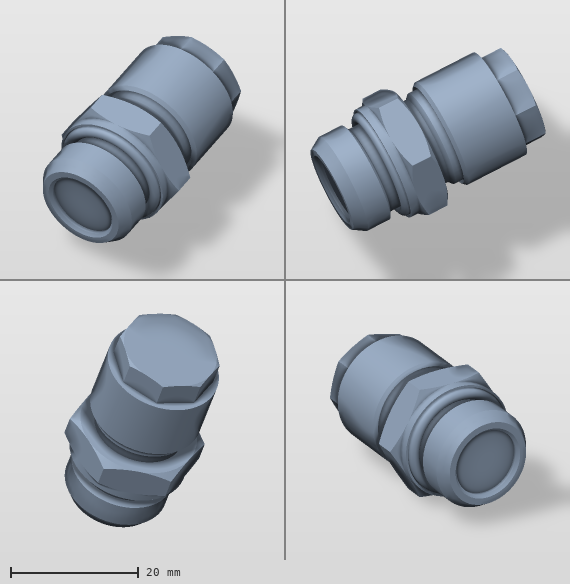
import cadquery as cq
import math


tip_radius = 7.07
thread_radius = 8.3
neck_radius = 7.25
tip_chamfer_end = 1.97
thread_end = 5.95
relief_start = 6.53

seal_radius = 8.98
seal_start = 8.02
seal_section_radius = (seal_radius - neck_radius) / 2
seal_middle = seal_start + seal_section_radius
collar_start = 9.05
seal_groove_radius = 9.15
seal_groove_end = collar_start + 0.68

hex_start = 10.55
hex_end = 15.55
hex_across_flats = 19.0
hex_inner_radius = hex_across_flats / 2
hex_chamfer_angle = 30

shoulder_radius = 7.95
shoulder_chamfer_start = 17.05
shoulder_start = 17.7
nut_start = 18.97
nut_radius = 9.05
nut_chamfer = 0.55
nut_bore_radius = 8.43
nut_bore_depth = 0.68
nut_end = 29.92
total_length = 34

octagon_across_flats = 15.13
octagon_inner_radius = octagon_across_flats / 2
octagon_turn = 7.8
octagon_chamfer_angle = 25

recess_radius = 6.0
recess_floor_radius = 5.5
recess_chamfer_depth = recess_radius - recess_floor_radius
recess_depth = 1.1


def revolve_about_axis(profile):
    """Turn a closed (radius, Y) profile about the Y axis."""
    return profile.close().revolve(360, (0, 0, 0), (0, 1, 0))


def prism(sides, across_flats, start, end, turn=0):
    """Regular prism along Y, with its first corner turned from +X towards +Z."""
    corner_diameter = across_flats / math.cos(math.pi / sides)
    base = cq.Workplane("XZ", origin=(0, start, 0))
    solid = base.polygon(sides, corner_diameter).extrude(start - end)
    return solid.rotate((0, 0, 0), (0, 1, 0), -turn)


def corner_cone(sides, inner_radius, start, end, angle, both_ends):
    """Solid of revolution that trims the corners of a prism."""
    outer_radius = inner_radius / math.cos(math.pi / sides)
    drop = (outer_radius - inner_radius) * math.tan(math.radians(angle))
    profile = cq.Workplane("XY").moveTo(0, start)
    if both_ends:
        profile = profile.lineTo(inner_radius, start).lineTo(outer_radius, start + drop)
    else:
        profile = profile.lineTo(outer_radius, start)
    profile = profile.lineTo(outer_radius, end - drop).lineTo(inner_radius, end).lineTo(0, end)
    return revolve_about_axis(profile)


def turned_body():
    profile = (
        cq.Workplane("XY")
        .moveTo(0, 0)
        .lineTo(tip_radius, 0)
        .lineTo(thread_radius, tip_chamfer_end)
        .lineTo(thread_radius, thread_end)
        .lineTo(neck_radius, relief_start)
        .lineTo(neck_radius, seal_middle)
        .threePointArc((neck_radius + seal_section_radius, seal_start), (seal_radius, seal_middle))
        .lineTo(seal_radius, seal_groove_end)
        .lineTo(seal_groove_radius, seal_groove_end)
        .lineTo(seal_groove_radius, collar_start)
        .lineTo(hex_inner_radius, collar_start)
        .lineTo(hex_inner_radius, hex_start)
        .lineTo(neck_radius, hex_start)
        .lineTo(neck_radius, shoulder_chamfer_start)
        .lineTo(shoulder_radius, shoulder_start)
        .lineTo(shoulder_radius, nut_start + nut_bore_depth)
        .lineTo(nut_bore_radius, nut_start + nut_bore_depth)
        .lineTo(nut_bore_radius, nut_start)
        .lineTo(nut_radius - nut_chamfer, nut_start)
        .lineTo(nut_radius, nut_start + nut_chamfer)
        .lineTo(nut_radius, nut_end)
        .lineTo(0, nut_end)
    )
    return revolve_about_axis(profile)


def hexagon():
    blank = prism(6, hex_across_flats, hex_start, hex_end)
    return blank.intersect(corner_cone(6, hex_inner_radius, hex_start, hex_end, hex_chamfer_angle, True))


def octagon():
    blank = prism(8, octagon_across_flats, nut_end, total_length, octagon_turn)
    cone = corner_cone(8, octagon_inner_radius, nut_end, total_length, octagon_chamfer_angle, False)
    return blank.intersect(cone)


def recess():
    profile = (
        cq.Workplane("XY")
        .moveTo(0, 0)
        .lineTo(recess_radius, 0)
        .lineTo(recess_floor_radius, recess_chamfer_depth)
        .lineTo(recess_floor_radius, recess_depth)
        .lineTo(0, recess_depth)
    )
    return revolve_about_axis(profile)


result = turned_body().union(hexagon()).union(octagon()).cut(recess())